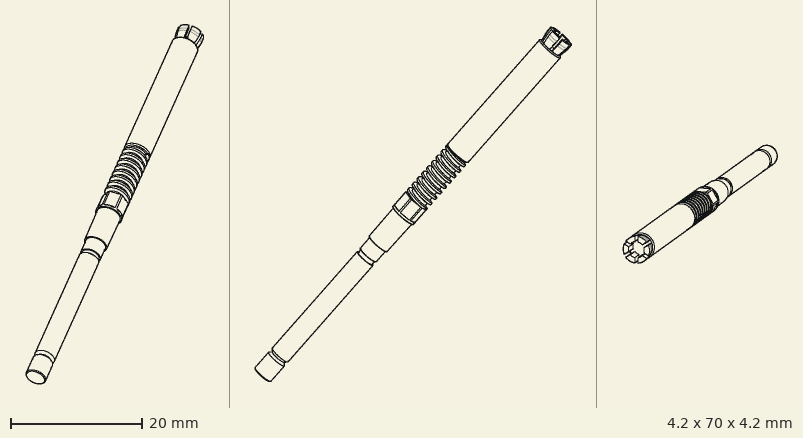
import cadquery as cq
import math

LENGTH = 70.0
LIP_EDGE = 69.3
LIP_BASE = 68.9
SLOT_FLOOR = 67.6
SLEEVE_END = 45.65
HEX_TOP = 36.05
HEX_END = 33.4
COLLAR_END = 33.0
NECK_END = 27.1
TAIL_GROOVE_TOP = 24.8
TAIL_GROOVE_END = 24.1
LATCH_TOP = 4.1
LATCH_END = 3.3

BODY_RADIUS = 2.1
LIP_GROOVE_RADIUS = 1.8
BORE_RADIUS = 1.25
COIL_CORE_RADIUS = 1.55
NECK_TOP_RADIUS = 1.9
NECK_END_RADIUS = 1.8
TAIL_RADIUS = 1.6
TAIL_GROOVE_RADIUS = 1.4
LATCH_RADIUS = 1.2

SLEEVE_CHAMFER = 0.2
HEAD_CHAMFER = 0.2
LIP_TAPER = 0.035
TIP_CHAMFER = 0.15
SLOT_WIDTH = 0.5
SLOT_COUNT = 3
HEX_SIDES = 6
HEX_FLAT_DISTANCE = 1.9
CUT_REACH = 2 * BODY_RADIUS
COIL_PITCH = 1.1
COIL_ROOT_RADIUS = 1.4
COIL_ROOT_WIDTH = 0.7
COIL_CREST_WIDTH = 0.35
COIL_START_ANGLE = 180.0


def turned_body():
    """Revolve the stepped outline about the Y axis."""
    latch_middle = (LATCH_TOP + LATCH_END) / 2
    outline = [
        (0, 0),
        (TAIL_RADIUS - TIP_CHAMFER, 0),
        (TAIL_RADIUS, TIP_CHAMFER),
        (TAIL_RADIUS, LATCH_END),
        (LATCH_RADIUS, latch_middle),
        (TAIL_RADIUS, LATCH_TOP),
        (TAIL_RADIUS, TAIL_GROOVE_END),
        (TAIL_GROOVE_RADIUS, TAIL_GROOVE_END),
        (TAIL_GROOVE_RADIUS, TAIL_GROOVE_TOP),
        (TAIL_RADIUS, TAIL_GROOVE_TOP),
        (TAIL_RADIUS, NECK_END),
        (NECK_END_RADIUS, NECK_END),
        (NECK_TOP_RADIUS, COLLAR_END),
        (BODY_RADIUS, COLLAR_END),
        (BODY_RADIUS, HEX_TOP),
        (COIL_CORE_RADIUS, HEX_TOP),
        (COIL_CORE_RADIUS, SLEEVE_END),
        (BODY_RADIUS - SLEEVE_CHAMFER, SLEEVE_END),
        (BODY_RADIUS, SLEEVE_END + SLEEVE_CHAMFER),
        (BODY_RADIUS, SLOT_FLOOR - HEAD_CHAMFER),
        (BODY_RADIUS - HEAD_CHAMFER, SLOT_FLOOR),
        (LIP_GROOVE_RADIUS, SLOT_FLOOR),
        (BODY_RADIUS - LIP_TAPER, LIP_BASE),
        (BODY_RADIUS, LIP_EDGE),
        (BODY_RADIUS, LENGTH),
        (0, LENGTH),
    ]
    return cq.Workplane("XY").polyline(outline).close().revolve(360, (0, 0), (0, 1))


def hexagon_waste():
    """Ring outside a hexagon with two corners on the X axis; the body radius trims its corners."""
    corner_diameter = 2 * HEX_FLAT_DISTANCE / math.cos(math.pi / HEX_SIDES)
    plane = cq.Workplane("XZ", origin=(0, HEX_TOP, 0))
    depth = HEX_TOP - HEX_END
    return plane.circle(CUT_REACH).polygon(HEX_SIDES, corner_diameter).extrude(depth)


def finger_cutter():
    """Bore and crossing slots that split the head into spring fingers."""
    depth = LENGTH - SLOT_FLOOR
    plane = cq.Workplane("XZ", origin=(0, LENGTH, 0))
    cutter = plane.circle(BORE_RADIUS).extrude(depth)
    for index in range(SLOT_COUNT):
        slot = plane.rect(SLOT_WIDTH, 2 * CUT_REACH).extrude(depth)
        cutter = cutter.union(slot.rotate((0, 0, 0), (0, 1, 0), index * 180 / SLOT_COUNT))
    return cutter


def coil():
    """Left-hand helical ridge around the core, flush with the shoulders at both ends."""
    height = SLEEVE_END - HEX_TOP
    path = cq.Wire.makeHelix(COIL_PITCH, height, COIL_ROOT_RADIUS, lefthand=True)
    section = [
        (COIL_ROOT_RADIUS, -COIL_ROOT_WIDTH / 2),
        (BODY_RADIUS, -COIL_CREST_WIDTH / 2),
        (BODY_RADIUS, COIL_CREST_WIDTH / 2),
        (COIL_ROOT_RADIUS, COIL_ROOT_WIDTH / 2),
    ]
    ridge = cq.Workplane("XZ").polyline(section).close().sweep(path, isFrenet=True)
    room = cq.Workplane("XY").circle(CUT_REACH).extrude(height)
    trimmed = ridge.intersect(room).rotate((0, 0, 0), (0, 0, 1), COIL_START_ANGLE)
    return trimmed.rotate((0, 0, 0), (1, 0, 0), -90).translate((0, HEX_TOP, 0))


result = turned_body().cut(hexagon_waste()).cut(finger_cutter()).union(coil())